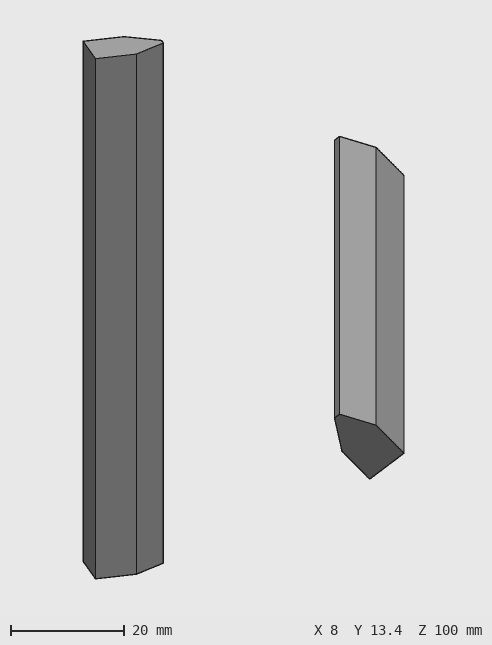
import cadquery as cq

length = 100.0
width = 8.0
depth = 13.4
shoulder_depth = 7.5
tip_width = 1.2

half_width = width / 2
half_tip = tip_width / 2

result = (
    cq.Workplane("XY")
    .polyline([
        (-half_width, 0),
        (half_width, 0),
        (half_width, shoulder_depth),
        (half_tip, depth),
        (-half_tip, depth),
        (-half_width, shoulder_depth),
    ])
    .close()
    .extrude(length)
)